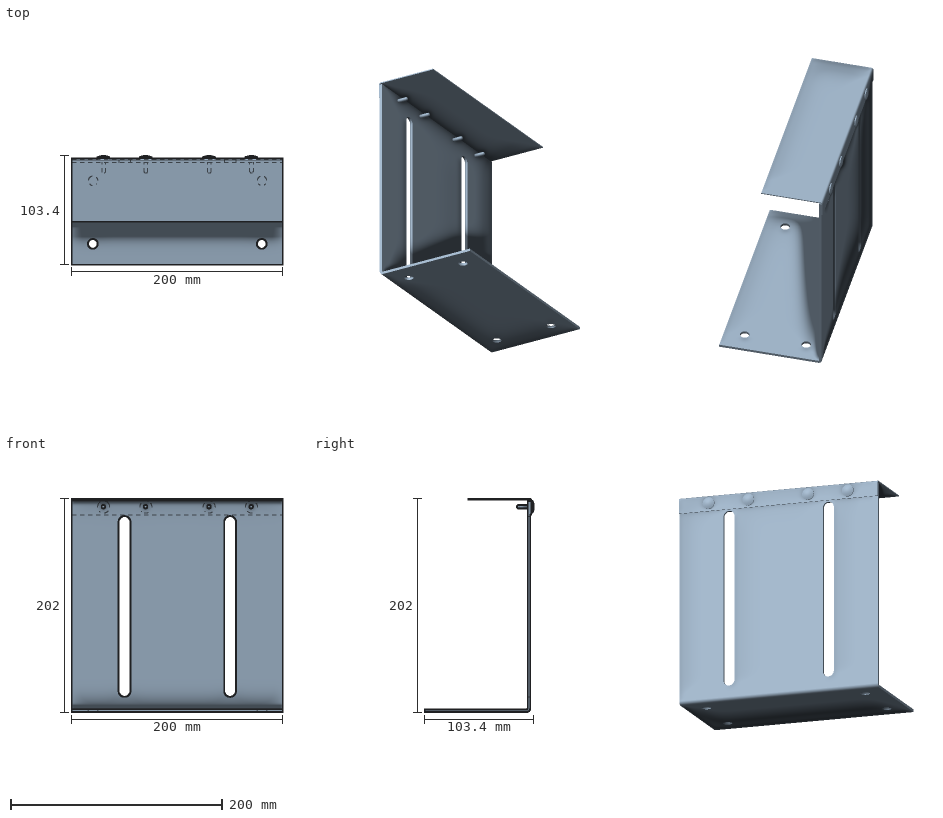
import cadquery as cq
import math

width = 200.0
base_depth = 100.0
back_height = 200.0
bracket_thickness = 2.5
bracket_inner_radius = 1.0

hook_thickness = 1.0
hook_inner_radius = 1.0
hook_depth = 60.0
hook_height = 15.0
hook_rear = base_depth + hook_thickness
hook_top = back_height + hook_inner_radius + hook_thickness

slot_width = 11.0
slot_bottom = 14.5
slot_top = back_height - slot_bottom
slot_inset = 50.0

base_hole_diameter = 9.0
base_hole_inset_x = 20.0
base_hole_inset_y = 20.0

rivet_positions_x = (30.0, 70.0, 130.0, 170.0)
rivet_z = hook_top - hook_height / 2
rivet_head_diameter = 11.43
rivet_head_height = 2.36
rivet_rim_height = 1.0
rivet_pin_diameter = 3.44
rivet_tip_start_y = 89.0


def bent_sheet(depth, height, thickness, inner_radius):
    """L-shaped sheet with its outer bend corner at Y = 0, Z = 0, reaching to -Y and +Z."""
    profile = (
        cq.Workplane("YZ")
        .polyline([
            (0, 0),
            (0, height),
            (-thickness, height),
            (-thickness, thickness),
            (-depth, thickness),
            (-depth, 0),
        ])
        .close()
        .extrude(width)
    )
    outer_corner = cq.selectors.NearestToPointSelector((width / 2, 0, 0))
    inner_corner = cq.selectors.NearestToPointSelector((width / 2, -thickness, thickness))
    rounded = profile.edges("|X").edges(outer_corner).fillet(inner_radius + thickness)
    return rounded.edges("|X").edges(inner_corner).fillet(inner_radius)


def make_bracket():
    sheet = bent_sheet(base_depth, back_height, bracket_thickness, bracket_inner_radius)
    return sheet.translate((0, base_depth, 0))


def make_hook():
    sheet = bent_sheet(hook_depth, hook_height, hook_thickness, hook_inner_radius)
    return sheet.mirror("XY").translate((0, hook_rear, hook_top))


def make_slots():
    slot_length = slot_top - slot_bottom
    return (
        cq.Workplane("XZ", origin=(0, base_depth, (slot_bottom + slot_top) / 2))
        .pushPoints([(slot_inset, 0), (width - slot_inset, 0)])
        .slot2D(slot_length, slot_width, 90)
        .extrude(bracket_thickness)
    )


def make_base_holes():
    return (
        cq.Workplane("XY")
        .pushPoints([
            (x, y)
            for x in (base_hole_inset_x, width - base_hole_inset_x)
            for y in (base_hole_inset_y, base_depth - base_hole_inset_y)
        ])
        .circle(base_hole_diameter / 2)
        .extrude(bracket_thickness)
    )


def make_rivet(x):
    """Rivet along Y: rimmed, domed head on the hook, straight pin and hemispherical tip."""
    head_radius = rivet_head_diameter / 2
    pin_radius = rivet_pin_diameter / 2
    rim_top = hook_rear + rivet_rim_height
    head_top = hook_rear + rivet_head_height
    dome_height = rivet_head_height - rivet_rim_height
    dome_radius = (head_radius**2 + dome_height**2) / (2 * dome_height)
    half_angle = math.asin(head_radius / dome_radius) / 2
    dome_middle = (
        dome_radius * math.sin(half_angle),
        head_top - dome_radius * (1 - math.cos(half_angle)),
    )
    tip_middle = (
        pin_radius * math.sin(math.pi / 4),
        rivet_tip_start_y - pin_radius * math.cos(math.pi / 4),
    )
    return (
        cq.Workplane("XY")
        .moveTo(0, rivet_tip_start_y - pin_radius)
        .threePointArc(tip_middle, (pin_radius, rivet_tip_start_y))
        .lineTo(pin_radius, hook_rear)
        .lineTo(head_radius, hook_rear)
        .lineTo(head_radius, rim_top)
        .threePointArc(dome_middle, (0, head_top))
        .close()
        .revolve(360, (0, 0, 0), (0, 1, 0))
        .translate((x, 0, rivet_z))
    )


bracket = make_bracket().cut(make_slots()).cut(make_base_holes())
result = bracket.union(make_hook())
for rivet_x in rivet_positions_x:
    result = result.union(make_rivet(rivet_x))